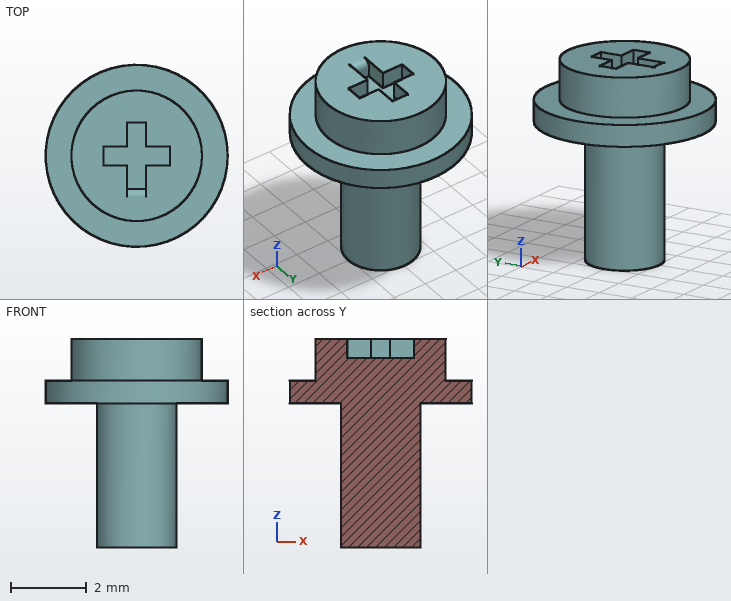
import cadquery as cq

SHANK_DIAMETER = 2.1
SHANK_LENGTH = 3.8
FLANGE_DIAMETER = 4.8
FLANGE_THICKNESS = 0.6
HEAD_DIAMETER = 3.44
HEAD_HEIGHT = 1.1

RECESS_SPAN = 1.75
RECESS_WIDTH = 0.5
RECESS_DEPTH = 0.5
RIM_RADIUS = 0.2

HEAD_TOP = FLANGE_THICKNESS + HEAD_HEIGHT
RECESS_FLOOR = HEAD_TOP - RECESS_DEPTH


def cylinder(diameter, bottom, height):
    """Cylinder on the Z axis, rising from the given bottom level."""
    return cq.Workplane("XY").workplane(offset=bottom).circle(diameter / 2).extrude(height)


def screw_body():
    """Plain shank, washer flange and cylindrical head on one axis."""
    shank = cylinder(SHANK_DIAMETER, -SHANK_LENGTH, SHANK_LENGTH)
    flange = cylinder(FLANGE_DIAMETER, 0, FLANGE_THICKNESS)
    head = cylinder(HEAD_DIAMETER, FLANGE_THICKNESS, HEAD_HEIGHT)
    return shank.union(flange).union(head)


def cross_recess():
    """Two crossing slots, cut down from the top of the head."""
    floor = cq.Workplane("XY").workplane(offset=RECESS_FLOOR)
    slot_along_x = floor.rect(RECESS_SPAN, RECESS_WIDTH).extrude(RECESS_DEPTH)
    slot_along_y = floor.rect(RECESS_WIDTH, RECESS_SPAN).extrude(RECESS_DEPTH)
    return slot_along_x.union(slot_along_y)


def rounded_rim():
    """Material removed to round the rim between the -Y end wall and the top of the head."""
    wall_y = -RECESS_SPAN / 2
    return (
        cq.Workplane("YZ")
        .moveTo(wall_y, HEAD_TOP)
        .lineTo(wall_y, HEAD_TOP - RIM_RADIUS)
        .radiusArc((wall_y - RIM_RADIUS, HEAD_TOP), -RIM_RADIUS)
        .close()
        .extrude(RECESS_WIDTH / 2, both=True)
    )


result = screw_body().cut(cross_recess()).cut(rounded_rim())